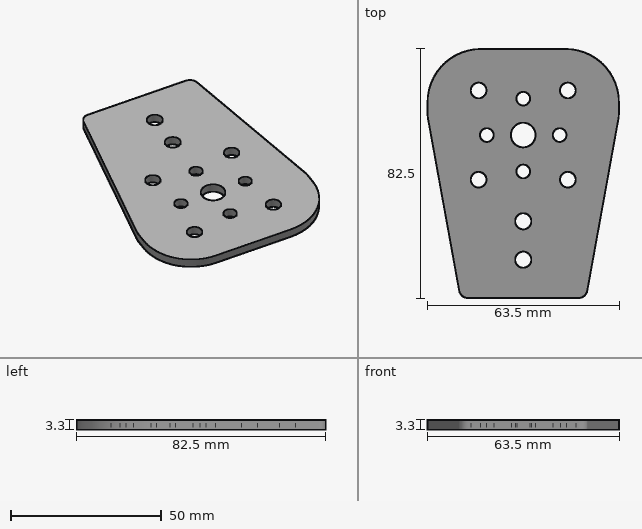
import cadquery as cq

length = 82.55
width = 63.5
thickness = 3.3
bottom_width = 41.6
shoulder_height = 60.35

top_radius = 17.75
shoulder_radius = 12.0
bottom_radius = 3.0

bore_height = 54.0
bore_diameter = 8.1
inner_offset = 12.05
inner_diameter = 4.45
outer_offset = 14.8
outer_diameter = 5.1
lower_heights = (12.7, 25.4)
lower_diameter = 5.3


def make_plate():
    """Tapered plate with all six corners rounded."""
    half_width = width / 2
    half_bottom = bottom_width / 2
    plate = (
        cq.Workplane("XY")
        .polyline([
            (-half_bottom, 0),
            (half_bottom, 0),
            (half_width, shoulder_height),
            (half_width, length),
            (-half_width, length),
            (-half_width, shoulder_height),
        ])
        .close()
        .extrude(thickness)
    )
    plate = plate.edges("|Z and >Y").fillet(top_radius)
    plate = plate.edges("|Z and <Y").fillet(bottom_radius)
    shoulders = cq.selectors.BoxSelector(
        (-width, shoulder_height - 0.8, -0.8),
        (width, shoulder_height + 0.8, thickness + 0.8),
    )
    return plate.edges("|Z").edges(shoulders).fillet(shoulder_radius)


def through_holes(points, diameter):
    """Cylinders that cut holes through the plate at the given XY points."""
    return cq.Workplane("XY").pushPoints(points).circle(diameter / 2).extrude(thickness)


inner_points = [
    (inner_offset, bore_height),
    (-inner_offset, bore_height),
    (0, bore_height + inner_offset),
    (0, bore_height - inner_offset),
]
outer_points = [
    (x, bore_height + y)
    for x in (-outer_offset, outer_offset)
    for y in (-outer_offset, outer_offset)
]
lower_points = [(0, height) for height in lower_heights]

result = (
    make_plate()
    .cut(through_holes([(0, bore_height)], bore_diameter))
    .cut(through_holes(inner_points, inner_diameter))
    .cut(through_holes(outer_points, outer_diameter))
    .cut(through_holes(lower_points, lower_diameter))
)